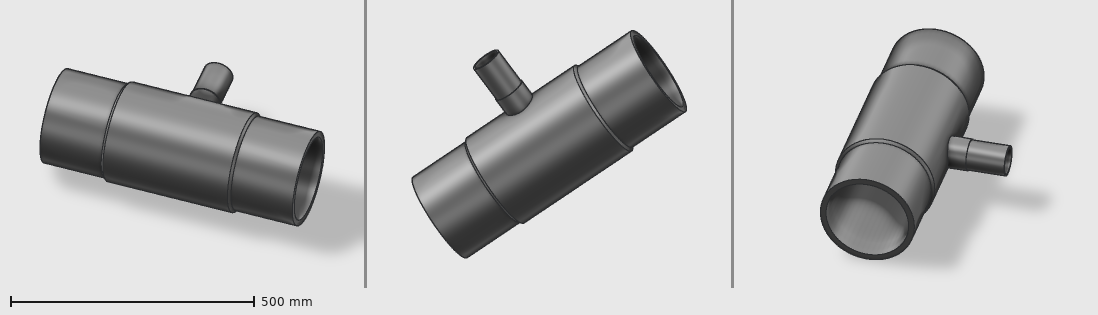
import cadquery as cq

pipe_length = 550.0
pipe_diameter = 200.0
bore_diameter = 176.0

sleeve_length = 282.5
sleeve_diameter = 212.0
sleeve_chamfer = (sleeve_diameter - pipe_diameter) / 2

overall_width = 331.0
branch_reach = overall_width - sleeve_diameter / 2
branch_diameter = 63.0
branch_bore_diameter = 55.5
collar_diameter = 66.5
collar_reach = 144.0


def cylinder_along_x(diameter, length):
    """Cylinder centred on the origin with its axis along X."""
    return cq.Workplane("YZ").circle(diameter / 2).extrude(length / 2, both=True)


def cylinder_along_y(diameter, reach):
    """Cylinder from the pipe axis out to the given +Y position."""
    return cq.Workplane("XZ").circle(diameter / 2).extrude(-reach)


pipe = cylinder_along_x(pipe_diameter, pipe_length)
sleeve = cylinder_along_x(sleeve_diameter, sleeve_length).edges().chamfer(sleeve_chamfer)

branch = cylinder_along_y(branch_diameter, branch_reach)
collar = cylinder_along_y(collar_diameter, collar_reach)

pipe_bore = cylinder_along_x(bore_diameter, pipe_length)
branch_bore = cylinder_along_y(branch_bore_diameter, branch_reach)

body = pipe.union(sleeve).union(branch).union(collar)
result = body.cut(pipe_bore).cut(branch_bore)